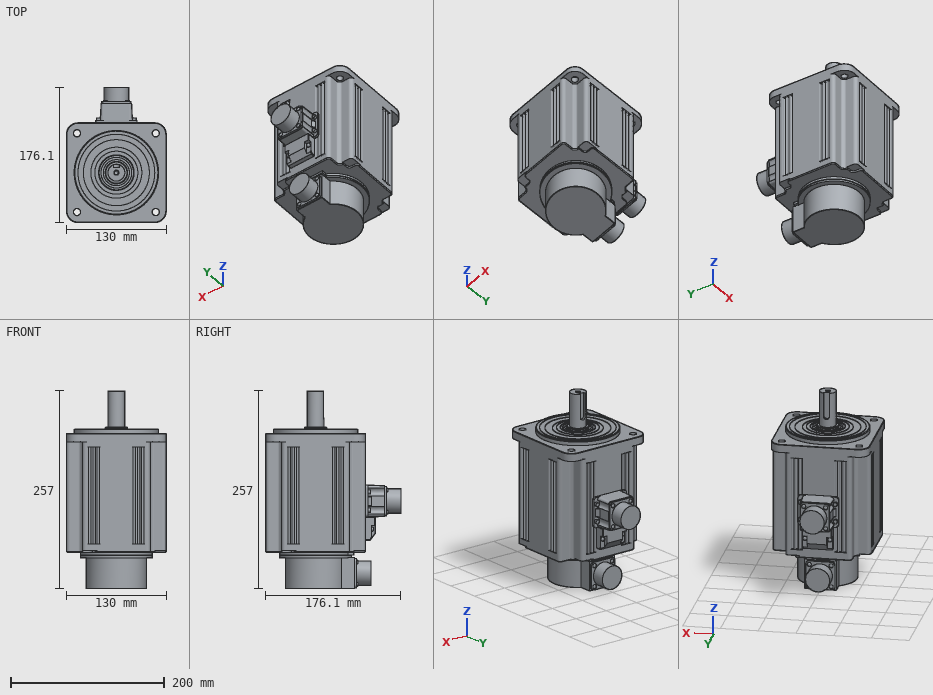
import cadquery as cq
import math


overall_length = 257.0
shaft_extension = 55.0
mount_face_z = overall_length - shaft_extension
flange_thickness = 11.0
flange_underside_z = mount_face_z - flange_thickness
body_bottom_z = 47.1
encoder_height = 40.6

flange_size = 130.0
half_size = flange_size / 2
flange_corner_radius = 15.0
flange_chamfer = 0.7
bolt_circle = 145.0
bolt_hole_diameter = 9.0
bolt_spacing = bolt_circle / math.sqrt(2)

pilot_radius = 55.0
pilot_height = 6.0
pilot_top_z = mount_face_z + pilot_height
pilot_chamfer = 1.0
outer_step_radius = 50.0
deep_recess_outer_radius = 43.0
deep_recess_inner_radius = 33.2
inner_step_radius = 28.0
face_step = 0.7
seal_rim_radius = 23.2
seal_face_radius = 22.4
seal_face_depth = 0.4
seal_groove_outer_radius = 20.0
seal_groove_inner_radius = 17.0
seal_groove_depth = 3.0

notch_size = 20.8
notch_inner_chamfer = 3.6
notch_inner_radius = 3.4
lug_radius = 5.0
body_bottom_chamfer = 1.3
groove_bottom_z = 58.0
groove_top_z = 184.2
groove_count = 3
first_groove_x = 23.4
groove_pitch = 5.5
groove_radius = 1.55
groove_depth = 4.0
groove_rim_radius = 0.75

pocket_height = 2.8
pocket_depth = 15.0
pocket_inner_radius = 5.2
pocket_outer_radius = 5.8
pocket_end_x = -25.5

encoder_radius = 39.5
encoder_chamfer = 0.5
encoder_box_half_width = 21.0
encoder_box_front_y = 50.9
encoder_connector_z = 20.1
cover_ring_bottom_z = 40.2
cover_ring_radius = 47.0
cover_joint_z = 43.2
cover_joint_height = 0.5
cover_joint_radius = cover_ring_radius - 0.5
cover_lug_front_y = 49.8

connector_plate_size = 38.5
connector_plate_thickness = 2.4
connector_plate_radius = 4.2
connector_diameter = 32.3
connector_length = 18.8
screw_diameter = 5.5
screw_dome_radius = 1.7
plate_screw_height = 1.9
plate_screw_offset = 14.5

power_front_y = 111.14
power_box_front_y = power_front_y - connector_length - connector_plate_thickness
power_outlet_z = 114.0
power_base_width = 54.0
power_base_thickness = 3.0
power_base_radius = 4.2
power_box_base_size = 42.0
power_box_front_size = 40.0
power_box_radius = 4.2
scallop_radius = 5.5
base_screw_x = 23.3
base_screw_offset = 11.9
base_screw_height = 3.4
gusset_height = 5.8
gusset_half_length = 5.5
gusset_reach = 24.0

cover_half_width = 20.0
cover_front_y = 77.7
cover_top_z = 93.8
cover_slope_top_z = 72.0
cover_slope_bottom_y = 70.8
cover_bottom_z = 62.7
cover_chamfer = 1.0
cover_root_depth = 2.0
cover_pocket_width = 7.0
cover_pocket_floor_y = 72.7
cover_pocket_top_z = 82.0
cover_screw_z = 77.4
cover_screw_height = 2.8

shaft_radius = 11.0
shoulder_radius = 14.6
shoulder_top_z = 210.2
shoulder_chamfer = 0.8
shaft_seat_z = mount_face_z
keyway_width = 8.0
keyway_depth = 4.0
keyway_length = 36.0
center_hole_diameter = 5.0
center_hole_depth = 16.0
countersink_diameter = 6.6
drill_angle = 118.0


def point_along_y(shape, start_y, center_z):
    """Turn a shape built upward from Z = 0 so that it points along +Y."""
    turned = shape.rotate((0, 0, 0), (1, 0, 0), -90)
    return turned.translate((0, start_y, center_z))


def domed_screws(points, height):
    """Round screw heads standing on Z = 0."""
    heads = cq.Workplane("XY").pushPoints(points).circle(screw_diameter / 2).extrude(height)
    return heads.faces(">Z").edges().fillet(screw_dome_radius)


def corner_points(offset_x, offset_y):
    return [(sx * offset_x, sy * offset_y) for sx in (-1, 1) for sy in (-1, 1)]


def four_turns(shape):
    """Copies of a shape at the four quarter turns about the Z axis."""
    return [shape.rotate((0, 0, 0), (0, 0, 1), 90 * turn) for turn in range(4)]


def make_flange():
    plate = (
        cq.Workplane("XY").workplane(offset=flange_underside_z)
        .rect(flange_size, flange_size).extrude(flange_thickness)
        .edges("|Z").fillet(flange_corner_radius)
        .faces(">Z").edges().chamfer(flange_chamfer)
    )
    bolt_holes = (
        cq.Workplane("XY").workplane(offset=flange_underside_z)
        .rect(bolt_spacing, bolt_spacing, forConstruction=True).vertices()
        .circle(bolt_hole_diameter / 2).extrude(flange_thickness)
    )
    return plate.cut(bolt_holes)


def make_pilot():
    step_z = pilot_top_z - face_step
    recess_z = step_z - face_step
    seal_z = pilot_top_z - seal_face_depth
    groove_z = seal_z - seal_groove_depth
    profile = [
        (0, mount_face_z),
        (pilot_radius, mount_face_z),
        (pilot_radius, pilot_top_z - pilot_chamfer),
        (pilot_radius - pilot_chamfer, pilot_top_z),
        (outer_step_radius, pilot_top_z),
        (outer_step_radius, step_z),
        (deep_recess_outer_radius, step_z),
        (deep_recess_outer_radius, recess_z),
        (deep_recess_inner_radius, recess_z),
        (deep_recess_inner_radius, step_z),
        (inner_step_radius, step_z),
        (inner_step_radius, pilot_top_z),
        (seal_rim_radius, pilot_top_z),
        (seal_face_radius, seal_z),
        (seal_groove_outer_radius, seal_z),
        (seal_groove_outer_radius, groove_z),
        (seal_groove_inner_radius, groove_z),
        (seal_groove_inner_radius, seal_z),
        (0, seal_z),
    ]
    return cq.Workplane("XZ").polyline(profile).close().revolve(360, (0, 0, 0), (0, 1, 0))


def make_notch_cutter(height):
    """Corner notch at (-X, -Y) whose inner corner is chamfered and rounded."""
    wall = notch_size - half_size
    outside = -half_size - notch_size
    blend = wall - notch_inner_chamfer
    cutter = (
        cq.Workplane("XY").workplane(offset=body_bottom_z)
        .polyline([(outside, outside), (wall, outside), (wall, blend), (blend, wall), (outside, wall)])
        .close().extrude(height)
    )
    blend_middle = (wall + blend) / 2
    blend_edges = cq.selectors.BoxSelector(
        (blend_middle - notch_inner_chamfer, blend_middle - notch_inner_chamfer, body_bottom_z),
        (blend_middle + notch_inner_chamfer, blend_middle + notch_inner_chamfer, flange_underside_z),
    )
    return cutter.edges("|Z").edges(blend_edges).fillet(notch_inner_radius)


def make_cooling_groove(center_x):
    """One vertical round-bottomed groove in the -Y face, flared at its mouth."""
    slot_half = groove_radius
    mouth_half = groove_radius + groove_rim_radius
    face_y = -half_size
    rim_y = face_y + groove_rim_radius
    floor_center_y = face_y + groove_depth - groove_radius
    diagonal = groove_rim_radius * (1 - math.sqrt(0.5))
    return (
        cq.Workplane("XY").workplane(offset=groove_bottom_z)
        .moveTo(center_x - mouth_half, face_y)
        .threePointArc((center_x - slot_half - diagonal, face_y + diagonal), (center_x - slot_half, rim_y))
        .lineTo(center_x - slot_half, floor_center_y)
        .threePointArc((center_x, face_y + groove_depth), (center_x + slot_half, floor_center_y))
        .lineTo(center_x + slot_half, rim_y)
        .threePointArc((center_x + slot_half + diagonal, face_y + diagonal), (center_x + mouth_half, face_y))
        .close().extrude(groove_top_z - groove_bottom_z)
    )


def make_rear_pocket():
    """Shallow pocket with an S-shaped end, cut into the lug beside the (-X, -Y) notch."""
    face_y = -half_size
    wall_y = face_y + pocket_depth
    start_x = notch_size - half_size
    end_wall_x = pocket_end_x - pocket_outer_radius
    inner_diagonal = pocket_inner_radius * (1 - math.sqrt(0.5))
    outer_diagonal = pocket_outer_radius * (1 - math.sqrt(0.5))
    return (
        cq.Workplane("XY").workplane(offset=body_bottom_z)
        .moveTo(start_x, face_y)
        .lineTo(start_x, wall_y)
        .lineTo(end_wall_x - pocket_inner_radius, wall_y)
        .threePointArc(
            (end_wall_x - inner_diagonal, wall_y - inner_diagonal),
            (end_wall_x, wall_y - pocket_inner_radius),
        )
        .lineTo(end_wall_x, face_y + pocket_outer_radius)
        .threePointArc((end_wall_x + outer_diagonal, face_y + outer_diagonal), (pocket_end_x, face_y))
        .close().extrude(pocket_height)
    )


def make_body():
    body_height = flange_underside_z - body_bottom_z
    body = (
        cq.Workplane("XY").workplane(offset=body_bottom_z)
        .rect(flange_size, flange_size).extrude(body_height)
    )
    for notch in four_turns(make_notch_cutter(body_height)):
        body = body.cut(notch)
    for side in ("<X", ">X", "<Y", ">Y"):
        body = body.faces(side).edges("|Z").fillet(lug_radius)
    body = body.faces("<Z").edges().chamfer(body_bottom_chamfer)
    for index in range(groove_count):
        for side in (-1, 1):
            center_x = side * (first_groove_x + index * groove_pitch)
            for groove in four_turns(make_cooling_groove(center_x)):
                body = body.cut(groove)
    for pocket in four_turns(make_rear_pocket()):
        body = body.cut(pocket)
    return body


def make_connector():
    """Square screwed plate with a round plug, built upward from Z = 0."""
    plate = (
        cq.Workplane("XY").rect(connector_plate_size, connector_plate_size)
        .extrude(connector_plate_thickness)
        .edges("|Z").fillet(connector_plate_radius)
    )
    plug = (
        cq.Workplane("XY").circle(connector_diameter / 2)
        .extrude(connector_plate_thickness + connector_length)
    )
    screws = domed_screws(corner_points(plate_screw_offset, plate_screw_offset), plate_screw_height)
    return plate.union(plug).union(screws.translate((0, 0, connector_plate_thickness)))


def make_encoder():
    cap = cq.Workplane("XY").circle(encoder_radius).extrude(encoder_height)
    box = (
        cq.Workplane("XY").rect(2 * encoder_box_half_width, encoder_box_front_y, centered=(True, False))
        .extrude(encoder_height)
    )
    encoder = cap.union(box).faces("<Z").edges().chamfer(encoder_chamfer)

    cover_ring = (
        cq.Workplane("XY").workplane(offset=cover_ring_bottom_z)
        .circle(cover_ring_radius).extrude(body_bottom_z - cover_ring_bottom_z)
    )
    joint = (
        cq.Workplane("XY").workplane(offset=cover_joint_z)
        .circle(cover_ring_radius).circle(cover_joint_radius).extrude(cover_joint_height)
    )
    cover_lug = (
        cq.Workplane("XY").workplane(offset=cover_joint_z + cover_joint_height)
        .rect(2 * encoder_box_half_width, cover_lug_front_y, centered=(True, False))
        .extrude(body_bottom_z - cover_joint_z - cover_joint_height)
    )
    connector = point_along_y(make_connector(), encoder_box_front_y, encoder_connector_z)
    return encoder.union(cover_ring.cut(joint)).union(cover_lug).union(connector)


def make_power_outlet():
    """Base plate, tapered box and connector, first built upward from Z = 0."""
    box_height = power_box_front_y - half_size - power_base_thickness
    taper = math.degrees(math.atan((power_box_base_size - power_box_front_size) / 2 / box_height))
    base = (
        cq.Workplane("XY").rect(power_base_width, power_box_base_size).extrude(power_base_thickness)
        .edges("|Z").fillet(power_base_radius)
    )
    box_outline = (
        cq.Sketch().rect(power_box_base_size, power_box_base_size)
        .vertices().fillet(power_box_radius)
    )
    box = (
        cq.Workplane("XY").workplane(offset=power_base_thickness)
        .placeSketch(box_outline).extrude(box_height, taper=taper)
    )
    screw_points = corner_points(base_screw_x, base_screw_offset)
    scallops = (
        cq.Workplane("XY").workplane(offset=power_base_thickness)
        .pushPoints(screw_points).circle(scallop_radius).extrude(box_height, taper=-taper / 2)
    )
    gusset_top_x = power_box_front_size / 2
    gusset = (
        cq.Workplane("XZ").workplane(offset=-gusset_half_length)
        .polyline([
            (-gusset_reach, power_base_thickness),
            (-gusset_top_x, power_base_thickness + gusset_height),
            (gusset_top_x, power_base_thickness + gusset_height),
            (gusset_reach, power_base_thickness),
        ])
        .close().extrude(2 * gusset_half_length)
    )
    screws = cq.Workplane("XY").pushPoints(screw_points).circle(screw_diameter / 2).extrude(base_screw_height)
    outlet = base.union(box.cut(scallops)).union(gusset)
    outlet = outlet.union(screws.translate((0, 0, power_base_thickness)))
    outlet = outlet.union(make_connector().translate((0, 0, power_base_thickness + box_height)))
    return point_along_y(outlet, half_size, power_outlet_z)


def make_cable_cover():
    """Sloped cover with a screw in a pocket at each end."""
    root_y = half_size - cover_root_depth
    block = (
        cq.Workplane("YZ").workplane(offset=-cover_half_width)
        .polyline([
            (root_y, cover_top_z),
            (cover_front_y, cover_top_z),
            (cover_front_y, cover_slope_top_z),
            (cover_slope_bottom_y, cover_bottom_z),
            (root_y, cover_bottom_z),
        ])
        .close().extrude(2 * cover_half_width)
        .faces("<X or >X").edges().chamfer(cover_chamfer)
    )
    pocket_depth_y = cover_front_y - cover_pocket_floor_y
    pocket_length_z = cover_pocket_top_z - cover_bottom_z
    for side in (-1, 1):
        pocket_x = side * (cover_half_width - cover_pocket_width / 2)
        pocket = (
            cq.Workplane("XY")
            .box(cover_pocket_width, pocket_depth_y, pocket_length_z, centered=(True, False, False))
            .translate((pocket_x, cover_pocket_floor_y, cover_bottom_z))
        )
        screw = domed_screws([(pocket_x, 0)], cover_screw_height)
        block = block.cut(pocket).union(point_along_y(screw, cover_pocket_floor_y, cover_screw_z))
    return block


def make_housing():
    housing = make_flange().union(make_pilot()).union(make_body()).union(make_encoder())
    housing = housing.union(make_power_outlet()).union(make_cable_cover())
    shaft_seat = (
        cq.Workplane("XY").workplane(offset=shaft_seat_z)
        .circle(shoulder_radius).extrude(pilot_top_z - shaft_seat_z)
    )
    return housing.cut(shaft_seat)


def make_shaft():
    profile = [
        (0, shaft_seat_z),
        (shoulder_radius, shaft_seat_z),
        (shoulder_radius, shoulder_top_z - shoulder_chamfer),
        (shoulder_radius - shoulder_chamfer, shoulder_top_z),
        (shaft_radius, shoulder_top_z),
        (shaft_radius, overall_length),
        (0, overall_length),
    ]
    shaft = cq.Workplane("XZ").polyline(profile).close().revolve(360, (0, 0, 0), (0, 1, 0))

    keyway_half = keyway_width / 2
    keyway_end_z = overall_length - keyway_length
    keyway = (
        cq.Workplane("XZ").workplane(offset=-shaft_radius)
        .moveTo(-keyway_half, overall_length)
        .lineTo(-keyway_half, keyway_end_z + keyway_half)
        .threePointArc((0, keyway_end_z), (keyway_half, keyway_end_z + keyway_half))
        .lineTo(keyway_half, overall_length)
        .close().extrude(keyway_depth)
    )

    hole_radius = center_hole_diameter / 2
    countersink_radius = countersink_diameter / 2
    hole_bottom_z = overall_length - center_hole_depth
    drill_point_length = hole_radius / math.tan(math.radians(drill_angle / 2))
    hole_profile = [
        (0, overall_length),
        (countersink_radius, overall_length),
        (hole_radius, overall_length - (countersink_radius - hole_radius)),
        (hole_radius, hole_bottom_z),
        (0, hole_bottom_z - drill_point_length),
    ]
    center_hole = cq.Workplane("XZ").polyline(hole_profile).close().revolve(360, (0, 0, 0), (0, 1, 0))
    return shaft.cut(keyway).cut(center_hole)


housing = make_housing()
shaft = make_shaft()
result = cq.Compound.makeCompound([housing.solids().val(), shaft.solids().val()])